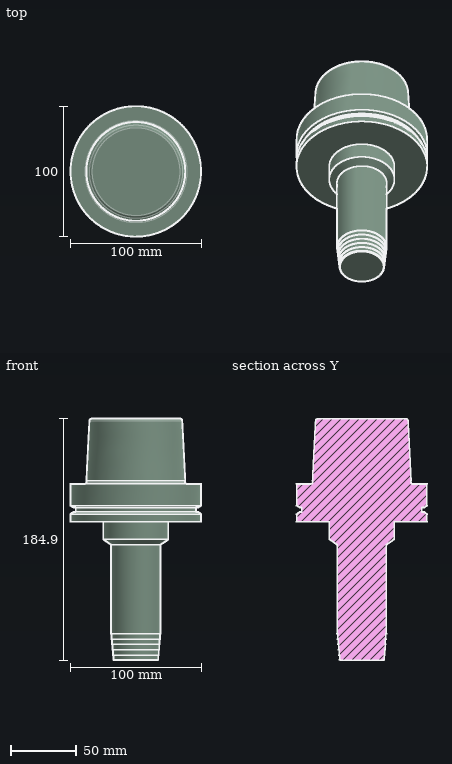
import cadquery as cq

total_height = 184.9

cap_top_radius = 35.5
cap_base_radius = 37.9
cap_rim_round = 2.0
cap_base_z = 137.4
neck_radius = 37.7
neck_fillet = 1.3

flange_diameter = 100.0
flange_radius = flange_diameter / 2
flange_top_z = 135.0
flange_bottom_z = 106.0
groove_bottom_z = 111.9
groove_mouth_width = 6.5
groove_center_z = groove_bottom_z + groove_mouth_width / 2
groove_throat_width = 3.1
groove_throat_radius = 47.7
groove_floor_radius = 46.0

collar_radius = 25.0
collar_bottom_z = 92.5
shank_radius = 19.0
shank_top_z = 88.4

tip_top_z = 20.3
tip_ring_count = 5
tip_ring_height = tip_top_z / tip_ring_count
tip_ring_step = 0.4
tip_end_radius = shank_radius - tip_ring_count * tip_ring_step
tip_chamfer = 0.5


def revolve_profile(points):
    """Revolve a closed (radius, z) outline about the Z axis."""
    return cq.Workplane("XZ").polyline(points).close().revolve(360, (0, 0, 0), (0, 1, 0))


def make_cap():
    cap = revolve_profile([
        (0, cap_base_z),
        (cap_base_radius, cap_base_z),
        (cap_top_radius, total_height),
        (0, total_height),
    ])
    return cap.faces(">Z").edges().fillet(cap_rim_round)


def make_neck():
    """Short cylinder under the cap, flared into the flange by a concave fillet."""
    fillet_outer_radius = neck_radius + neck_fillet
    fillet_top_z = flange_top_z + neck_fillet
    outline = (
        cq.Workplane("XZ")
        .moveTo(0, flange_top_z)
        .lineTo(fillet_outer_radius, flange_top_z)
        .radiusArc((neck_radius, fillet_top_z), neck_fillet)
        .lineTo(neck_radius, cap_base_z)
        .lineTo(0, cap_base_z)
        .close()
    )
    return outline.revolve(360, (0, 0, 0), (0, 1, 0))


def make_flange():
    half_mouth = groove_mouth_width / 2
    half_throat = groove_throat_width / 2
    return revolve_profile([
        (0, flange_bottom_z),
        (flange_radius, flange_bottom_z),
        (flange_radius, groove_center_z - half_mouth),
        (groove_throat_radius, groove_center_z - half_throat),
        (groove_floor_radius, groove_center_z - half_throat),
        (groove_floor_radius, groove_center_z + half_throat),
        (groove_throat_radius, groove_center_z + half_throat),
        (flange_radius, groove_center_z + half_mouth),
        (flange_radius, flange_top_z),
        (0, flange_top_z),
    ])


def make_shank():
    """Collar, conical shoulder, straight shank and stepped tip."""
    tip_steps = []
    for ring in range(1, tip_ring_count + 1):
        step_z = ring * tip_ring_height
        ring_radius = tip_end_radius + (ring - 1) * tip_ring_step
        tip_steps.append((ring_radius, step_z))
        tip_steps.append((ring_radius + tip_ring_step, step_z))
    return revolve_profile([
        (0, 0),
        (tip_end_radius - tip_chamfer, 0),
        (tip_end_radius, tip_chamfer),
        *tip_steps,
        (shank_radius, shank_top_z),
        (collar_radius, collar_bottom_z),
        (collar_radius, flange_bottom_z),
        (0, flange_bottom_z),
    ])


result = make_shank().union(make_flange()).union(make_neck()).union(make_cap())